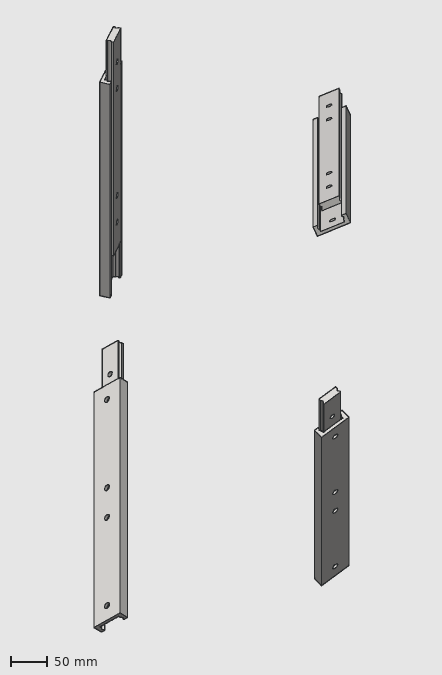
import cadquery as cq

total_length = 471.0
member_length = 400.0
center_z = total_length / 2

rail_width = 50.0
rail_depth = 15.0
web_thickness = 4.5
channel_width = 36.0
rail_hole_diameter = 9.0
rail_hole_offsets = (25.0, 175.0)

slide_width = 30.0
slide_back_x = 6.0
slide_front_x = 17.0
slide_thickness = slide_front_x - slide_back_x
slide_bottom_z = total_length - member_length
slide_hole_diameter = 8.0
slide_hole_offsets = (50.0, 100.0)

groove_radius = 3.0
groove_center_y = (channel_width + slide_width) / 4
groove_x = 11.0


def bar(back_x, depth, width, bottom_z):
    """A full-length bar centred on Y, starting at back_x."""
    return (
        cq.Workplane("XY", origin=(back_x, 0, bottom_z))
        .rect(depth, width)
        .extrude(member_length)
        .translate((depth / 2, 0, 0))
    )


def ball_grooves(bottom_z):
    """Two round cutters along Z, one in each side gap."""
    return (
        cq.Workplane("XY", origin=(groove_x, 0, bottom_z))
        .pushPoints([(0, groove_center_y), (0, -groove_center_y)])
        .circle(groove_radius)
        .extrude(member_length)
    )


def mounting_holes(diameter, end_offsets, bottom_z):
    """Round cutters along X, placed symmetrically from both ends of a member."""
    heights = [bottom_z + offset for offset in end_offsets]
    heights += [bottom_z + member_length - offset for offset in end_offsets]
    return (
        cq.Workplane("YZ")
        .pushPoints([(0, height) for height in heights])
        .circle(diameter / 2)
        .extrude(slide_front_x)
    )


def make_rail():
    channel = bar(web_thickness, rail_depth - web_thickness, channel_width, 0)
    return (
        bar(0, rail_depth, rail_width, 0)
        .cut(channel)
        .cut(ball_grooves(0))
        .cut(mounting_holes(rail_hole_diameter, rail_hole_offsets, 0))
    )


def make_slide():
    return (
        bar(slide_back_x, slide_thickness, slide_width, slide_bottom_z)
        .cut(ball_grooves(slide_bottom_z))
        .cut(mounting_holes(slide_hole_diameter, slide_hole_offsets, slide_bottom_z))
    )


to_center = (-slide_front_x / 2, 0, -center_z)
rail = make_rail().translate(to_center)
slide = make_slide().translate(to_center)

result = cq.Compound.makeCompound([rail.val(), slide.val()])